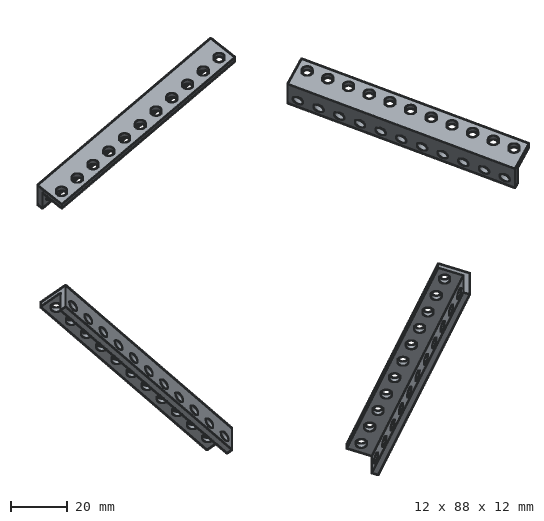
import cadquery as cq

length = 88.0
flange_width = 12.0
thickness = 2.5
hole_diameter = 4.0
hole_count = 11
hole_pitch = length / hole_count
hole_offset = flange_width * 2 / 3


def angle_bar():
    """L-section with its outer corner along the Y axis, at X = 0 and Z = 0."""
    outer = cq.Workplane("XY").box(flange_width, length, flange_width, centered=(False, True, False))
    inner = outer.translate((thickness, 0, -thickness))
    return outer.cut(inner).translate((0, 0, -flange_width))


def hole_row(plane, row_points):
    """Cylinders that pass through the flange lying on the given plane."""
    return (
        cq.Workplane(plane)
        .pushPoints(row_points)
        .circle(hole_diameter / 2)
        .extrude(thickness, both=True)
    )


hole_places = [(i - (hole_count - 1) / 2) * hole_pitch for i in range(hole_count)]
top_holes = hole_row("XY", [(hole_offset, y) for y in hole_places])
side_holes = hole_row("YZ", [(y, -hole_offset) for y in hole_places])

result = angle_bar().cut(top_holes).cut(side_holes)